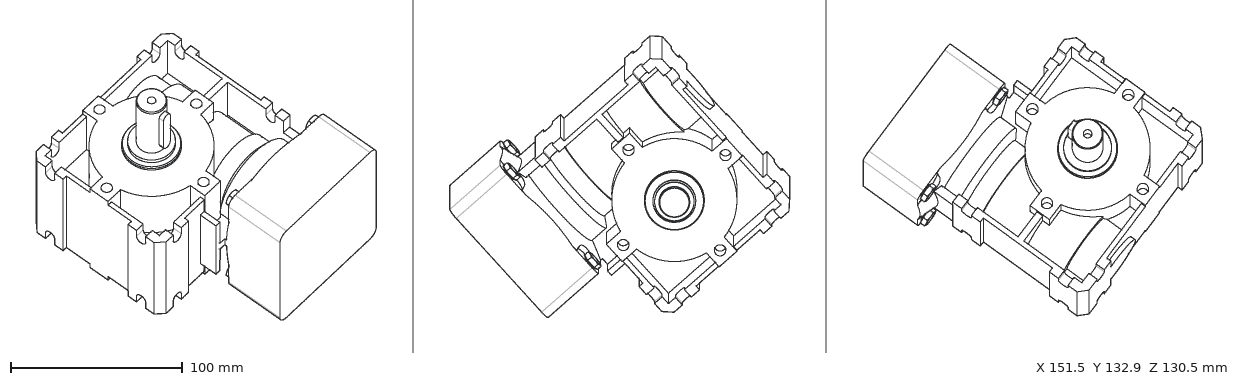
import cadquery as cq
import math


PAD_FACE = 50.0
PANEL_FACE = 47.0
WALL_INNER = 44.0
REAR_SHIFT = 21.5
HOUSING_HALF_HEIGHT = 35.5
WEB_HALF_THICKNESS = 3.0
PAD_EDGE = 25.0
REAR_PAD_EDGE = 45.0
RIGHT_REAR_EDGE = 45.0
CORNER_CHAMFER = 5.0

SLOT_OFFSET = 35.0
REAR_SLOT_Y = 55.0
SLOT_WIDTH = 7.0
SLOT_DEPTH = 9.3

NECK_END_X = 59.0
NECK_HALF_HEIGHT = 24.0
NECK_FRONT_Y = -11.0
NECK_WALL_INNER_Y = -7.5
NECK_REAR_Y = 71.0

HUB_DIAMETER = 73.0
HUB_HALF_HEIGHT = 39.0
LUG_WIDTH = 14.0
LUG_HOLE_RADIUS = 40.0
LUG_HOLE_DIAMETER = 6.6
LUG_HOLE_DEPTH = 15.0
DRILL_POINT_ANGLE = 118.0
RIB_THICKNESS = 4.2

SHAFT_DIAMETER = 18.0
SHAFT_TOP = 84.0
SHAFT_BOTTOM = -46.5
SHAFT_CHAMFER = 1.0
SHAFT_CHAMFER_INSET = 0.5
CENTER_HOLE_DIAMETER = 4.92
CENTER_HOLE_DEPTH = 12.0
SEAL_DIAMETER = 35.0
SEAL_HEIGHT = 2.5
SEAL_CHAMFER = 1.0
SEAL_CHAMFER_INSET = 0.5
COLLAR_DIAMETER = 28.0
COLLAR_TOP = 44.0
WASHER_DIAMETER = 25.0
WASHER_HEIGHT = 1.2
RETAINER_DIAMETER = 23.0
RETAINER_HEIGHT = 1.2
KEY_WIDTH = 6.0
KEY_OUTER_X = 11.8
KEY_INNER_X = 6.0
KEY_BOTTOM = 48.0
KEY_TOP = 80.0

WORM_Y = 39.9
CAP_DIAMETER = 38.0
BARREL_DIAMETER = 46.0
BEARING_DIAMETER = 50.0
THROAT_DIAMETER = 62.0
BARREL_START_X = -28.2
BEARING_START_X = 30.2
BEARING_END_X = 41.0
THROAT_START_X = 44.8
CONE_START_X = 56.0

FLANGE_FACE_X = 62.0
FLANGE_END_X = 101.5
FLANGE_SIZE = 86.0
FLANGE_CORNER_RADIUS = 5.7
CONE_END_RADIUS = 47.7
POCKET_EDGE = 24.0
BOLT_OFFSET = 35.5
POCKET_CORNER_RADIUS = BOLT_OFFSET - POCKET_EDGE
BOLT_HEAD_FLATS = 10.0
BOLT_HEAD_HEIGHT = 4.0
BOLT_CHAMFER_HEIGHT = 0.5
BOLT_CHAMFER_INSET = 0.9
WASHER_FACE_DIAMETER = 8.7
WASHER_FACE_HEIGHT = 0.6


def box(x_range, y_range, z_range):
    """Box given by its limits along each axis."""
    size = [limits[1] - limits[0] for limits in (x_range, y_range, z_range)]
    corner = (x_range[0], y_range[0], z_range[0])
    return cq.Workplane("XY").box(*size, centered=False).translate(corner)


def both(half):
    """Limits placed evenly about zero."""
    return (-half, half)


def disc(diameter, z_start, z_end):
    """Cylinder on the output axis."""
    return cq.Workplane("XY", origin=(0, 0, z_start)).circle(diameter / 2).extrude(z_end - z_start)


def worm_plane(x, y_offset=0.0, z_offset=0.0):
    """Workplane facing +X with its origin measured from the worm axis."""
    return cq.Workplane("YZ", origin=(x, WORM_Y + y_offset, z_offset))


def worm_disc(diameter, x_start, x_end):
    """Cylinder on the worm axis."""
    return worm_plane(x_start).circle(diameter / 2).extrude(x_end - x_start)


def drilled_hole(diameter, depth, x, y, z_top):
    """Blind hole cutter with a drill point, going down from z_top."""
    radius = diameter / 2
    point = radius / math.tan(math.radians(DRILL_POINT_ANGLE / 2))
    profile = cq.Workplane("XZ").polyline(
        [(0, 0), (radius, 0), (radius, -depth), (0, -depth - point)]
    ).close()
    return profile.revolve(360, (0, 0), (0, 1)).translate((x, y, z_top))


def housing_outline():
    """Solid plan shape: chamfered corners and recessed panels."""
    rear_pad = PAD_FACE + REAR_SHIFT
    rear_panel = PANEL_FACE + REAR_SHIFT
    chamfered = PAD_FACE - CORNER_CHAMFER
    points = [
        (-chamfered, -PAD_FACE),
        (-PAD_EDGE, -PAD_FACE),
        (-PAD_EDGE, -PANEL_FACE),
        (PAD_EDGE, -PANEL_FACE),
        (PAD_EDGE, -PAD_FACE),
        (chamfered, -PAD_FACE),
        (PAD_FACE, -chamfered),
        (PAD_FACE, -PAD_EDGE),
        (PANEL_FACE, -PAD_EDGE),
        (PANEL_FACE, NECK_WALL_INNER_Y),
        (RIGHT_REAR_EDGE, NECK_WALL_INNER_Y),
        (RIGHT_REAR_EDGE, rear_pad),
        (PAD_EDGE, rear_pad),
        (PAD_EDGE, rear_panel),
        (-PAD_EDGE, rear_panel),
        (-PAD_EDGE, rear_pad),
        (-chamfered, rear_pad),
        (-PAD_FACE, rear_pad - CORNER_CHAMFER),
        (-PAD_FACE, REAR_PAD_EDGE),
        (-PANEL_FACE, REAR_PAD_EDGE),
        (-PANEL_FACE, -PAD_EDGE),
        (-PAD_FACE, -PAD_EDGE),
        (-PAD_FACE, -chamfered),
    ]
    outline = cq.Workplane("XY", origin=(0, 0, -HOUSING_HALF_HEIGHT)).polyline(points).close()
    return outline.extrude(2 * HOUSING_HALF_HEIGHT)


def housing():
    """Walls around a mid-height web, open above and below."""
    body = housing_outline()
    wall_rear = WALL_INNER + REAR_SHIFT
    cavity_z = (WEB_HALF_THICKNESS, HOUSING_HALF_HEIGHT)
    front_cavity = box(both(WALL_INNER), (-WALL_INNER, NECK_WALL_INNER_Y), cavity_z)
    rear_cavity = box((-WALL_INNER, PAD_FACE), (NECK_WALL_INNER_Y, wall_rear), cavity_z)
    upper_cavity = front_cavity.union(rear_cavity)
    return body.cut(upper_cavity).cut(upper_cavity.mirror("XY"))


def neck_walls():
    """Two low walls and the web between them; the web carries on into the flange cone."""
    height = both(NECK_HALF_HEIGHT)
    x_range = (RIGHT_REAR_EDGE, NECK_END_X)
    front = box(x_range, (NECK_FRONT_Y, NECK_WALL_INNER_Y), height)
    rear = box(x_range, (WALL_INNER + REAR_SHIFT, NECK_REAR_Y), height)
    web = box(x_range, (NECK_FRONT_Y, NECK_REAR_Y), both(WEB_HALF_THICKNESS))
    flange_front_y = WORM_Y - FLANGE_SIZE / 2
    web_tip = box((NECK_END_X, FLANGE_FACE_X), (flange_front_y, NECK_REAR_Y), both(WEB_HALF_THICKNESS))
    return front.union(rear).union(web).union(web_tip)


def mounting_slots():
    """Round-ended slots cut down from both rims of the walls."""
    radius = SLOT_WIDTH / 2
    depth_to_center = SLOT_DEPTH - radius
    rear_wall = (WALL_INNER + REAR_SHIFT, PAD_FACE + REAR_SHIFT)
    near_wall = (-PAD_FACE, -WALL_INNER)
    right_wall = (WALL_INNER, PAD_FACE)

    def slot_tool(length):
        """Slot along X from the origin, its open end at the upper rim."""
        base = cq.Workplane("YZ").circle(radius).extrude(length)
        riser = box((0, length), both(radius), (0, depth_to_center))
        return base.union(riser).translate((0, 0, HOUSING_HALF_HEIGHT - depth_to_center))

    tools = []
    for limits, y in ((near_wall, -SLOT_OFFSET), (near_wall, REAR_SLOT_Y), (right_wall, -SLOT_OFFSET)):
        tools.append(slot_tool(limits[1] - limits[0]).translate((limits[0], y, 0)))
    for limits in (near_wall, rear_wall):
        for x in both(SLOT_OFFSET):
            turned = slot_tool(limits[1] - limits[0]).rotate((0, 0, 0), (0, 0, 1), 90)
            tools.append(turned.translate((x, limits[0], 0)))

    slots = cq.Workplane("XY")
    for tool in tools:
        slots = slots.add(tool).add(tool.mirror("XY"))
    return slots.combine()


def hub():
    """Bearing hub with four drilled lugs and a rib to the rear wall."""
    height = both(HUB_HALF_HEIGHT)
    half_width = LUG_WIDTH / 2
    body = disc(HUB_DIAMETER, *height)
    body = body.union(box(both(PANEL_FACE), both(half_width), height))
    body = body.union(box(both(half_width), both(PANEL_FACE), height))
    rib_end = WALL_INNER + REAR_SHIFT
    rib = box(both(RIB_THICKNESS / 2), (0, rib_end), both(HOUSING_HALF_HEIGHT))
    return body.union(rib)


def lug_holes():
    """Blind holes in the lugs, from above and below."""
    holes = cq.Workplane("XY")
    for quarter in range(4):
        angle = math.radians(90 * quarter)
        x = LUG_HOLE_RADIUS * math.cos(angle)
        y = LUG_HOLE_RADIUS * math.sin(angle)
        hole = drilled_hole(LUG_HOLE_DIAMETER, LUG_HOLE_DEPTH, x, y, HUB_HALF_HEIGHT)
        holes = holes.add(hole).add(hole.mirror("XY"))
    return holes.combine()


def tapered_disc(diameter, z_start, z_end, rise, inset, edges):
    """Disc whose selected rims carry a chamfer of the given rise and inset."""
    body = disc(diameter, z_start, z_end)
    radius = diameter / 2
    profile = cq.Workplane("XZ").polyline(
        [(radius - inset, 0), (radius, -rise), (radius, 0)]
    ).close().revolve(360, (0, 0), (0, 1))
    if "top" in edges:
        body = body.cut(profile.translate((0, 0, z_end)))
    if "bottom" in edges:
        body = body.cut(profile.mirror("XY").translate((0, 0, z_start)))
    return body


def output_shaft():
    """Shaft with seals, collar, retaining ring, key and center hole."""
    shaft = tapered_disc(
        SHAFT_DIAMETER, SHAFT_BOTTOM, SHAFT_TOP, SHAFT_CHAMFER, SHAFT_CHAMFER_INSET, ("top", "bottom")
    )
    seal_end = HUB_HALF_HEIGHT + SEAL_HEIGHT
    seals = tapered_disc(
        SEAL_DIAMETER, -seal_end, seal_end, SEAL_CHAMFER, SEAL_CHAMFER_INSET, ("top", "bottom")
    )
    washer_bottom = -seal_end - WASHER_HEIGHT
    shaft = shaft.union(seals)
    shaft = shaft.union(disc(COLLAR_DIAMETER, 0, COLLAR_TOP))
    shaft = shaft.union(disc(WASHER_DIAMETER, washer_bottom, 0))
    shaft = shaft.union(disc(RETAINER_DIAMETER, washer_bottom - RETAINER_HEIGHT, 0))
    shaft = shaft.union(shaft_key())
    return shaft.cut(drilled_hole(CENTER_HOLE_DIAMETER, CENTER_HOLE_DEPTH, 0, 0, SHAFT_TOP))


def shaft_key():
    """Round-ended parallel key on the +X side of the shaft."""
    plane = cq.Workplane("YZ", origin=(KEY_INNER_X, 0, (KEY_BOTTOM + KEY_TOP) / 2))
    return plane.slot2D(KEY_TOP - KEY_BOTTOM, KEY_WIDTH, 90).extrude(KEY_OUTER_X - KEY_INNER_X)


def worm_barrel():
    """Stepped barrel from the end cap on the -X wall to the input throat."""
    barrel = worm_disc(CAP_DIAMETER, -PAD_FACE, BARREL_START_X)
    barrel = barrel.union(worm_disc(BARREL_DIAMETER, BARREL_START_X, BEARING_START_X))
    barrel = barrel.union(worm_disc(BEARING_DIAMETER, BEARING_START_X, BEARING_END_X))
    flare = (
        worm_plane(BEARING_END_X).circle(BEARING_DIAMETER / 2)
        .workplane(offset=THROAT_START_X - BEARING_END_X).circle(THROAT_DIAMETER / 2).loft()
    )
    return barrel.union(flare).union(worm_disc(THROAT_DIAMETER, THROAT_START_X, CONE_START_X))


def flange_prism(x_start, x_end):
    """Square block with rounded corners, centered on the worm axis."""
    prism = worm_plane(x_start).rect(FLANGE_SIZE, FLANGE_SIZE).extrude(x_end - x_start)
    return prism.edges("|X").fillet(FLANGE_CORNER_RADIUS)


def input_flange():
    """Flange block behind a cone that is pocketed for four hexagon bolts."""
    cone = (
        worm_plane(CONE_START_X).circle(THROAT_DIAMETER / 2)
        .workplane(offset=FLANGE_FACE_X - CONE_START_X).circle(CONE_END_RADIUS).loft()
    )
    cone = cone.intersect(flange_prism(CONE_START_X, FLANGE_FACE_X))
    pocket_size = FLANGE_SIZE / 2
    pocket_center = POCKET_EDGE + pocket_size / 2
    signs = [(sy, sz) for sy in (-1, 1) for sz in (-1, 1)]
    for sy, sz in signs:
        pocket = (
            worm_plane(CONE_START_X, sy * pocket_center, sz * pocket_center)
            .rect(pocket_size, pocket_size).extrude(FLANGE_FACE_X - CONE_START_X)
            .edges("|X").fillet(POCKET_CORNER_RADIUS)
        )
        cone = cone.cut(pocket)
    flange = flange_prism(FLANGE_FACE_X, FLANGE_END_X).union(cone)
    for sy, sz in signs:
        flange = flange.union(bolt_head(sy * BOLT_OFFSET, sz * BOLT_OFFSET))
    return flange


def bolt_head(y_offset, z_offset):
    """Chamfered hexagon head, points along Y, on a narrower washer face."""
    point_diameter = BOLT_HEAD_FLATS / math.cos(math.radians(30))
    hexagon_height = BOLT_HEAD_HEIGHT - WASHER_FACE_HEIGHT
    plane = worm_plane(FLANGE_FACE_X - BOLT_HEAD_HEIGHT, y_offset, z_offset)
    hexagon = plane.polygon(6, point_diameter).extrude(hexagon_height)
    trim = plane.circle(point_diameter / 2).extrude(hexagon_height)
    trim = trim.faces("<X").chamfer(BOLT_CHAMFER_HEIGHT, BOLT_CHAMFER_INSET)
    washer_face = plane.circle(WASHER_FACE_DIAMETER / 2).extrude(BOLT_HEAD_HEIGHT)
    return hexagon.intersect(trim).union(washer_face)


gearbox = housing().union(neck_walls()).cut(mounting_slots())
gearbox = gearbox.union(hub()).union(worm_barrel()).union(input_flange())
gearbox = gearbox.cut(lug_holes())
result = gearbox.union(output_shaft())